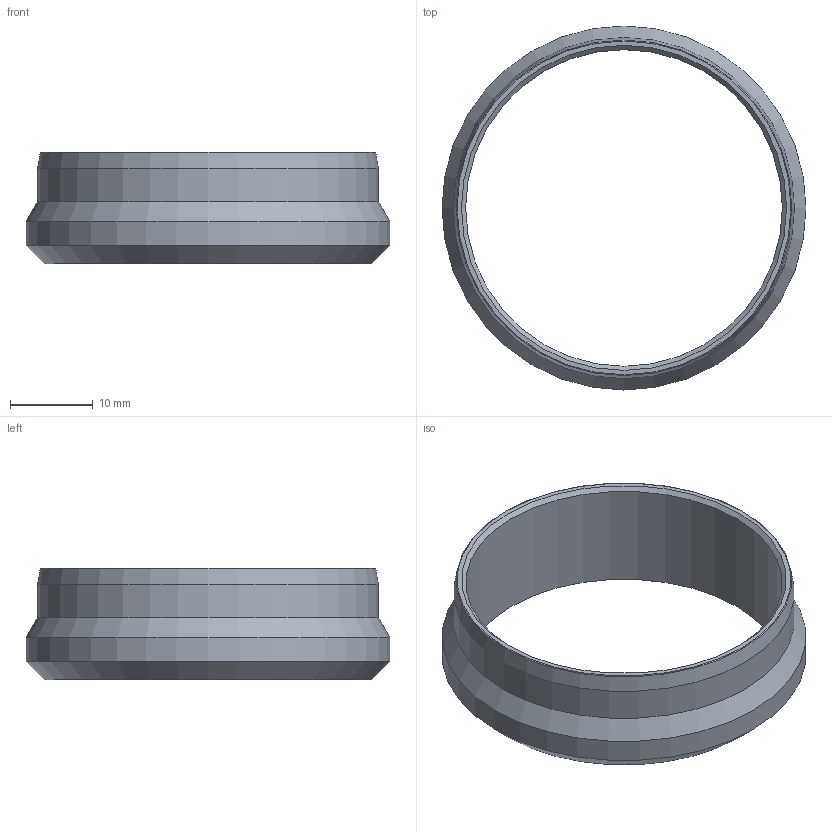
import cadquery as cq
import math

bore_diameter = 38.3
neck_diameter = 41.2
collar_diameter = 44.0

total_height = 13.5
base_bevel = 2.25
neck_bottom_z = 7.5
shoulder_angle = 60
tip_height = 2.0
tip_taper = 0.335
rim_round = 0.1
bore_chamfer = 0.5

bore_radius = bore_diameter / 2
neck_radius = neck_diameter / 2
collar_radius = collar_diameter / 2
base_radius = collar_radius - base_bevel
tip_radius = neck_radius - tip_taper
tip_bottom_z = total_height - tip_height
shoulder_height = (collar_radius - neck_radius) * math.tan(math.radians(shoulder_angle))
collar_top_z = neck_bottom_z - shoulder_height


def ring_section():
    """Half section of the ring in the XZ plane: radius along X, height along Z."""
    return (
        cq.Workplane("XZ")
        .moveTo(bore_radius, 0)
        .lineTo(base_radius, 0)
        .lineTo(collar_radius, base_bevel)
        .lineTo(collar_radius, collar_top_z)
        .lineTo(neck_radius, neck_bottom_z)
        .lineTo(neck_radius, tip_bottom_z)
        .lineTo(tip_radius, total_height)
        .lineTo(bore_radius + bore_chamfer, total_height)
        .lineTo(bore_radius, total_height - bore_chamfer)
        .close()
    )


def round_rim(ring):
    """Round the outer edge of the flat top face."""
    outer_edge = cq.selectors.RadiusNthSelector(-1)
    return ring.faces(">Z").edges(outer_edge).fillet(rim_round)


ring_body = ring_section().revolve(360, (0, 0, 0), (0, 1, 0))
result = round_rim(ring_body)